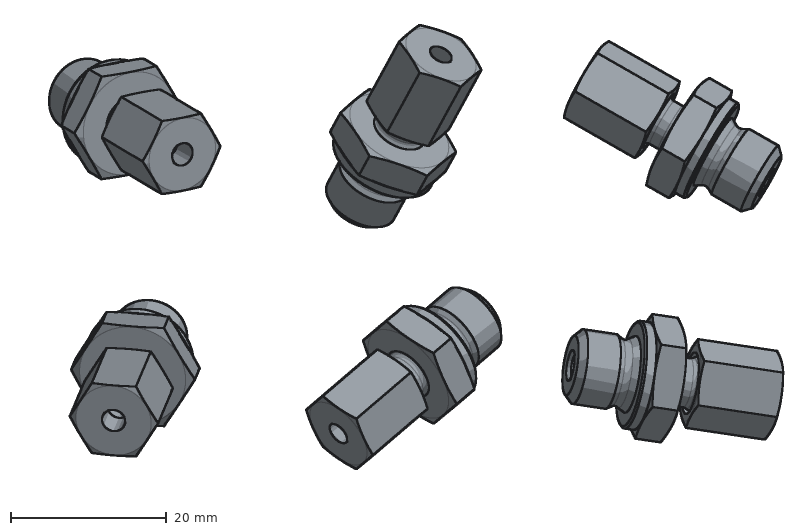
import cadquery as cq
import math


total_length = 27.0
stud_length = 8.0
collar_width = 1.5
hexagon_width = 4.0
nut_length = 11.0
hexagon_start = stud_length + collar_width
hexagon_end = hexagon_start + hexagon_width
nut_start = total_length - nut_length

stud_radius = 4.85
stud_chamfer = 1.0
groove_bottom_radius = 4.32
groove_center = 6.55
groove_round = 1.0
flank_angle = math.radians(30)

body_flats = 14.0
collar_radius = body_flats / 2
collar_chamfer = 0.27
nut_flats = 10.0
corner_angle = math.radians(15)
corner_face_inset = 0.08

neck_radius = 3.19
neck_round = 1.0
neck_front_run = 0.75
spigot_radius = 4.0
nut_end_wall = 4.0
spigot_end = total_length - nut_end_wall

bore_radius = 1.5
bore_mouth_radius = 2.0


def turned(profile):
    """Close a profile drawn in the XY plane and revolve it about the X axis."""
    return profile.close().revolve(360, (0, 0, 0), (1, 0, 0))


def cylinder(start, end, radius):
    """Cylinder along the X axis."""
    return cq.Workplane("YZ", origin=(start, 0, 0)).circle(radius).extrude(end - start)


def chamfered_hexagon(start, end, flats):
    """Hexagonal bar along X, flat on top, with both ends turned to a shallow cone."""
    corner_radius = flats / 2 / math.cos(math.pi / 6)
    face_radius = flats / 2 - corner_face_inset
    cone_length = (corner_radius - face_radius) * math.tan(corner_angle)
    bar = cq.Workplane("YZ", origin=(start, 0, 0)).polygon(6, 2 * corner_radius).extrude(end - start)
    envelope = turned(
        cq.Workplane("XY")
        .moveTo(start, 0)
        .lineTo(start, face_radius)
        .lineTo(start + cone_length, corner_radius)
        .lineTo(end - cone_length, corner_radius)
        .lineTo(end, face_radius)
        .lineTo(end, 0)
    )
    return bar.intersect(envelope)


def stud_and_collar():
    """Chamfered stud, undercut with a round bottom and sloping flanks, and collar."""
    round_half_width = groove_round * math.sin(flank_angle)
    round_edge_radius = groove_bottom_radius + groove_round * (1 - math.cos(flank_angle))
    front_flank_length = (stud_radius - round_edge_radius) / math.tan(flank_angle)
    round_start = groove_center - round_half_width
    round_end = groove_center + round_half_width
    flare_radius = round_edge_radius + (stud_length - round_end) * math.tan(flank_angle)
    return turned(
        cq.Workplane("XY")
        .lineTo(0, stud_radius - stud_chamfer)
        .lineTo(stud_chamfer, stud_radius)
        .lineTo(round_start - front_flank_length, stud_radius)
        .lineTo(round_start, round_edge_radius)
        .threePointArc((groove_center, groove_bottom_radius), (round_end, round_edge_radius))
        .lineTo(stud_length, flare_radius)
        .lineTo(stud_length, collar_radius - collar_chamfer)
        .lineTo(stud_length + collar_chamfer, collar_radius)
        .lineTo(hexagon_start, collar_radius)
        .lineTo(hexagon_start, 0)
    )


def neck_round_point(center, offset):
    """Point on a neck round, at an axial offset from the center of the round."""
    rise = neck_round - math.sqrt(neck_round**2 - offset**2)
    return (center + offset, neck_radius + rise)


def neck_and_spigot():
    """Neck rounded at both ends, opening by a cone to the spigot in the nut."""
    rear_run = neck_round * math.sin(flank_angle)
    neck_start = hexagon_end + neck_front_run
    neck_end = nut_start - rear_run
    cone_start_radius = neck_round_point(neck_end, rear_run)[1]
    cone_length = (spigot_radius - cone_start_radius) / math.tan(flank_angle)
    return turned(
        cq.Workplane("XY")
        .moveTo(hexagon_end, 0)
        .lineTo(*neck_round_point(neck_start, -neck_front_run))
        .threePointArc(neck_round_point(neck_start, -neck_front_run / 2), (neck_start, neck_radius))
        .lineTo(neck_end, neck_radius)
        .threePointArc(neck_round_point(neck_end, rear_run / 2), (nut_start, cone_start_radius))
        .lineTo(nut_start + cone_length, spigot_radius)
        .lineTo(spigot_end, spigot_radius)
        .lineTo(spigot_end, 0)
    )


def bore_mouth():
    """45 degree countersink at the front of the passage."""
    depth = bore_mouth_radius - bore_radius
    return turned(
        cq.Workplane("XY")
        .lineTo(0, bore_mouth_radius)
        .lineTo(depth, bore_radius)
        .lineTo(depth, 0)
    )


def make_body():
    """Screw-in body: stud, collar, hexagon, neck and spigot, bored through."""
    hexagon = chamfered_hexagon(hexagon_start, hexagon_end, body_flats)
    solid = stud_and_collar().union(hexagon).union(neck_and_spigot())
    return solid.cut(cylinder(0, spigot_end, bore_radius)).cut(bore_mouth())


def make_nut():
    """Union nut: hexagon with a socket for the spigot and the passage through its end wall."""
    hexagon = chamfered_hexagon(nut_start, total_length, nut_flats)
    socket = cylinder(nut_start, spigot_end, spigot_radius)
    passage = cylinder(spigot_end, total_length, bore_radius)
    return hexagon.cut(socket).cut(passage)


body = make_body()
nut = make_nut()

result = cq.Compound.makeCompound([body.solids().val(), nut.solids().val()])